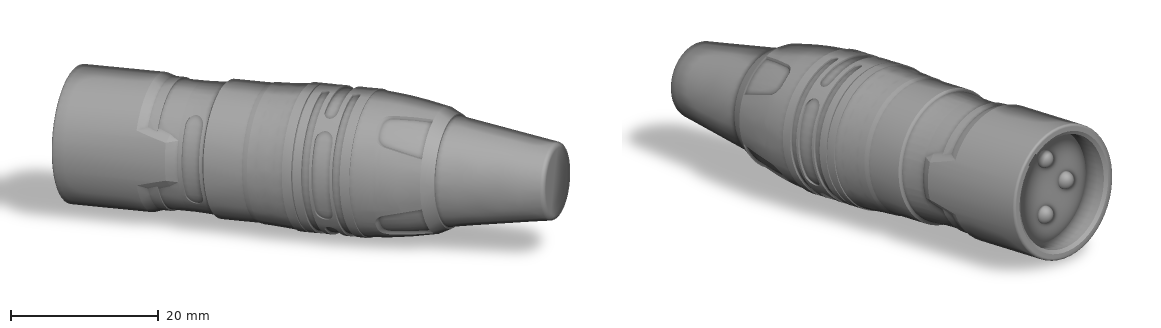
import cadquery as cq
import math


LENGTH = 69.65

SLEEVE_R = 9.55
SLEEVE_END = 12.05
RIM_INNER_R = 8.6
RIM_ROUND = 0.35
LEDGE_R = 9.1
LEDGE_START = 13.45
LEDGE_END = 14.9

TAB_RAMP_START = 16.45
TAB_RAMP_END = 18.0
TAB_ROOT = 7.65
TAB_ROOT_HALF = 5.7
TAB_KNEE = 16.85
TAB_KNEE_HALF = 4.1
TAB_TIP = 21.6
TAB_TIP_HALF = 2.5
TAB_BASE_Y = 7.65
TAB_HEIGHT = 2.1
TAB_TAPER = 45

NECK_R = 8.9
NECK_MID = 19.9
NECK_MID_R = 9.0
NECK_END_R = 9.1
NECK_END = 21.7
COLLAR_START = 22.0

RING_START = 27.6
RING_END = 28.35
RING_R = 9.7
SWELL_MID = 31.0
SWELL_MID_R = 9.8
GRIP_START = 33.6
SWELL_END_R = 10.0

GRIP_R = 10.2
GRIP_END = 43.3
GRIP_CENTRE = 39.15
HAIR_GROOVE_X = 35.0
HAIR_GROOVE_WIDTH = 0.2
HAIR_GROOVE_DEPTH = 0.2
GRIP_CUT_DEPTH = 0.35
SIDE_SLOT_OFFSET = 2.2
SIDE_SLOT_WIDTH = 1.1
SIDE_SLOT_GAP = 3.35
LONG_SLOT_WIDTH = 1.9
LONG_SLOT_LENGTH = 13.5

LABEL_LENGTH = 12.4
LABEL_WIDTH = 2.6
LABEL_DEPTH = 0.2
NECK_LABEL_X = 19.9

TAIL_MID = 49.2
TAIL_MID_R = 9.4
TAIL_RING = 53.0
TAIL_RING_R = 8.7
TAIL_END = 54.75
TAIL_END_R = 7.9

WINDOW_BASE_R = 7.65
WINDOW_FRONT = 48.2
WINDOW_FRONT_HALF = 1.0
WINDOW_REAR = 55.0
WINDOW_REAR_HALF = 3.4
WINDOW_TAPER = 45
WINDOW_DEPTH = 0.4
WINDOW_ANGLES = (45, 135, 225, 315)

BOOT_START_R = 7.6
BOOT_END_R = 5.3
BOOT_ROUND = 0.7

SOCKET_R = 8.1
SOCKET_DEPTH = 3.75
PIN_R = 1.25
PIN_CIRCLE_R = 4.0
PIN_ANGLES = (90, 180, 270)
KEY_WIDTH = 1.9
KEY_OUTER_R = 8.8
KEY_ANGLE = -45

REACH = 13.9


def disc(x_start, x_end, radius):
    """Cylinder about the X axis."""
    return cq.Workplane("YZ", origin=(x_start, 0, 0)).circle(radius).extrude(x_end - x_start)


def tail_outline(sketch, inset):
    """Continue an outline along the bulging tail, moved inwards by inset."""
    return sketch.threePointArc((TAIL_MID, TAIL_MID_R - inset), (TAIL_RING, TAIL_RING_R - inset))


def revolve_outline(sketch):
    """Close an outline and turn it about the X axis."""
    return sketch.close().revolve(360, (0, 0, 0), (1, 0, 0))


def make_body():
    """Revolved body, with the sleeve still running full round to the tips of the tabs."""
    outline = (
        cq.Workplane("XY")
        .lineTo(0, SLEEVE_R - RIM_ROUND)
        .radiusArc((RIM_ROUND, SLEEVE_R), RIM_ROUND)
        .lineTo(TAB_RAMP_START, SLEEVE_R)
        .lineTo(TAB_RAMP_END, NECK_R)
        .threePointArc((NECK_MID, NECK_MID_R), (NECK_END, NECK_END_R))
        .lineTo(COLLAR_START, SLEEVE_R)
        .lineTo(RING_START, SLEEVE_R)
        .lineTo(RING_END, RING_R)
        .lineTo(SWELL_MID, SWELL_MID_R)
        .lineTo(GRIP_START, SWELL_END_R)
        .lineTo(GRIP_START, GRIP_R)
        .lineTo(GRIP_END, GRIP_R)
        .lineTo(GRIP_END, SWELL_END_R)
    )
    outline = (
        tail_outline(outline, 0)
        .lineTo(TAIL_END, TAIL_END_R)
        .lineTo(TAIL_END, BOOT_START_R)
        .lineTo(LENGTH, BOOT_END_R)
        .lineTo(LENGTH, 0)
    )
    body = revolve_outline(outline)
    return body.faces(">X").edges().fillet(BOOT_ROUND)


def tab_relief():
    """Cutter that lowers the sleeve to the ledge and neck, leaving a tab on the -Y and +Y sides."""
    points = [
        (TAB_ROOT, TAB_ROOT_HALF),
        (TAB_KNEE, TAB_KNEE_HALF),
        (TAB_TIP, TAB_TIP_HALF),
    ]
    points += [(x, -z) for x, z in reversed(points)]
    tab = (
        cq.Workplane("XZ", origin=(0, -TAB_BASE_Y, 0))
        .polyline(points)
        .close()
        .extrude(TAB_HEIGHT, taper=TAB_TAPER)
    )
    relief = (
        cq.Workplane("XY")
        .moveTo(SLEEVE_END, REACH)
        .lineTo(SLEEVE_END, SLEEVE_R)
        .lineTo(LEDGE_START, LEDGE_R)
        .lineTo(LEDGE_END, LEDGE_R)
        .lineTo(LEDGE_END, NECK_R)
        .lineTo(TAB_RAMP_END, NECK_R)
        .lineTo(TAB_RAMP_END, REACH)
    )
    return revolve_outline(relief).cut(tab).cut(tab.mirror("XZ"))


def label_pocket(x_centre, floor_r):
    """Cutter for a round-ended pocket on the -Y side, curved to the floor radius."""
    return (
        cq.Workplane("XZ")
        .center(x_centre, 0)
        .slot2D(LABEL_LENGTH, LABEL_WIDTH, 90)
        .extrude(REACH)
        .cut(disc(0, LENGTH, floor_r))
    )


def grip_ring(x_centre, width, depth):
    """Cutter for a groove all round the grip."""
    x_start = x_centre - width / 2
    x_end = x_centre + width / 2
    return disc(x_start, x_end, REACH).cut(disc(x_start, x_end, GRIP_R - depth))


def side_slots(x_centre):
    """Cutter for two slots that wrap the -Y and +Y sides, with round ends at top and bottom."""
    end_y = (SIDE_SLOT_GAP + SIDE_SLOT_WIDTH) / 2
    land = cq.Workplane("XY").center(x_centre, 0).rect(2 * SIDE_SLOT_WIDTH, 2 * end_y)
    land = land.extrude(REACH, both=True)
    round_ends = (
        cq.Workplane("XY")
        .pushPoints([(x_centre, end_y), (x_centre, -end_y)])
        .circle(SIDE_SLOT_WIDTH / 2)
        .extrude(REACH, both=True)
    )
    ring = grip_ring(x_centre, SIDE_SLOT_WIDTH, GRIP_CUT_DEPTH)
    return ring.cut(land.cut(round_ends))


def long_slots():
    """Cutter for the round-ended slots across the top and bottom of the grip."""
    return (
        cq.Workplane("XY")
        .center(GRIP_CENTRE, 0)
        .slot2D(LONG_SLOT_LENGTH, LONG_SLOT_WIDTH, 90)
        .extrude(REACH, both=True)
        .cut(disc(0, LENGTH, GRIP_R - GRIP_CUT_DEPTH))
    )


def tail_windows():
    """Cutters for the windows in the tail, one on each diagonal."""
    floor_start = cq.Workplane("XY").moveTo(GRIP_END, 0).lineTo(GRIP_END, SWELL_END_R - WINDOW_DEPTH)
    floor = revolve_outline(tail_outline(floor_start, WINDOW_DEPTH).lineTo(TAIL_RING, 0))
    window = (
        cq.Workplane("XY", origin=(0, 0, WINDOW_BASE_R))
        .polyline([
            (WINDOW_FRONT, WINDOW_FRONT_HALF),
            (WINDOW_REAR, WINDOW_REAR_HALF),
            (WINDOW_REAR, -WINDOW_REAR_HALF),
            (WINDOW_FRONT, -WINDOW_FRONT_HALF),
        ])
        .close()
        .extrude(GRIP_R - WINDOW_BASE_R, taper=-WINDOW_TAPER)
        .intersect(disc(0, TAIL_RING, REACH))
        .cut(floor)
    )
    return [window.rotate((0, 0, 0), (1, 0, 0), angle) for angle in WINDOW_ANGLES]


def make_socket():
    """Cutter for the socket, flared at the mouth, with its key slot, leaving the pin tips."""
    bore = revolve_outline(
        cq.Workplane("XY")
        .lineTo(0, RIM_INNER_R)
        .lineTo(RIM_ROUND, SOCKET_R)
        .lineTo(SOCKET_DEPTH, SOCKET_R)
        .lineTo(SOCKET_DEPTH, 0)
    )
    key = (
        cq.Workplane("XY")
        .rect(2 * SOCKET_DEPTH, KEY_WIDTH)
        .extrude(KEY_OUTER_R)
        .intersect(disc(0, SOCKET_DEPTH, KEY_OUTER_R))
        .rotate((0, 0, 0), (1, 0, 0), KEY_ANGLE)
    )
    socket = bore.union(key)
    for angle in PIN_ANGLES:
        y = PIN_CIRCLE_R * math.cos(math.radians(angle))
        z = PIN_CIRCLE_R * math.sin(math.radians(angle))
        socket = socket.cut(cq.Workplane("XY", origin=(SOCKET_DEPTH, y, z)).sphere(PIN_R))
    return socket


result = make_body()
cutters = [
    tab_relief(),
    make_socket(),
    label_pocket(NECK_LABEL_X, NECK_R - LABEL_DEPTH),
    label_pocket(GRIP_CENTRE, GRIP_R - GRIP_CUT_DEPTH),
    label_pocket(GRIP_CENTRE, GRIP_R - GRIP_CUT_DEPTH).mirror("XZ"),
    grip_ring(HAIR_GROOVE_X, HAIR_GROOVE_WIDTH, HAIR_GROOVE_DEPTH),
    side_slots(GRIP_CENTRE - SIDE_SLOT_OFFSET),
    side_slots(GRIP_CENTRE + SIDE_SLOT_OFFSET),
    long_slots(),
    *tail_windows(),
]
for cutter in cutters:
    result = result.cut(cutter)